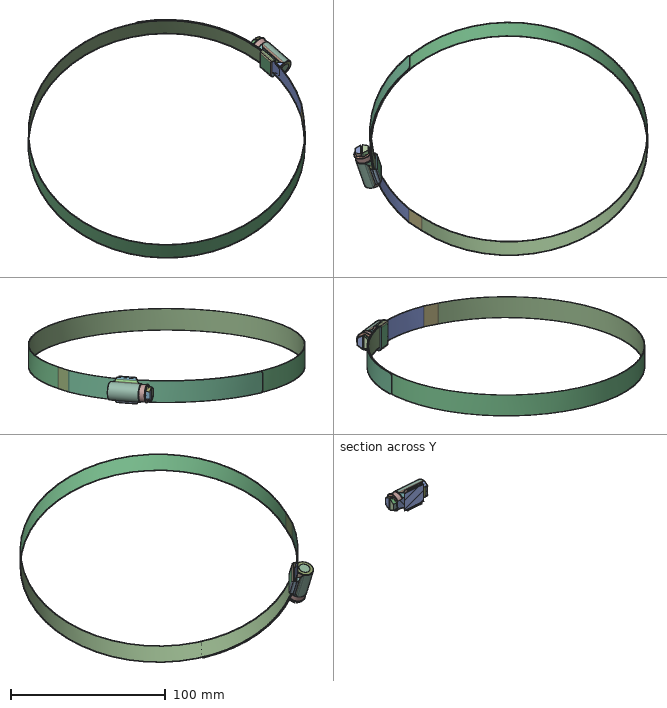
import cadquery as cq
import math


BAND_RADIUS = 89.5
BAND_THICKNESS = 0.47
BAND_WIDTH = 14.5
LAYER_GAP = 0.2
TAIL_END_ANGLE = 150.0
JOGGLE_OUTER_ANGLE = 61.7
JOGGLE_INNER_ANGLE = 54.9
INNER_END_ANGLE = 88.0
TAIL_CORNER_RADIUS = 1.9

INNER_FACE = BAND_RADIUS - BAND_THICKNESS
TAIL_INNER_FACE = BAND_RADIUS + LAYER_GAP
TAIL_RADIUS = TAIL_INNER_FACE + BAND_THICKNESS

OVERALL_LENGTH = 189.7
BARREL_RADIUS = 6.0
BARREL_HALF_LENGTH = 10.6
NECK_RADIUS = 5.7
LIP_LENGTH = 0.4
FRONT_X = -14.8
BARREL_CHAMFER = 0.4
AXIS_Y = OVERALL_LENGTH - BAND_RADIUS - BARREL_RADIUS

SADDLE_WIDTH = 17.3
SADDLE_HALF_WIDTH = SADDLE_WIDTH / 2
SADDLE_WALL = 0.5
SADDLE_BOTTOM_Y = 87.0
SADDLE_FLOOR = 0.8
SHOULDER_Y = 91.6
SHOULDER_RADIUS = 1.3
FLARE_RADIUS = SADDLE_HALF_WIDTH - BARREL_RADIUS - SHOULDER_RADIUS
BOTTOM_ROUND = 1.3
SADDLE_TOP_HALF_LENGTH = 10.2
SADDLE_SIDE_HALF_LENGTH = 5.9
SADDLE_BASE_HALF_LENGTH = 5.0
TAPER_END_Y = SHOULDER_Y - SHOULDER_RADIUS

SHANK_RADIUS = 3.6
HEX_ACROSS_FLATS = 8.5
HEAD_LENGTH = 2.8
SLOT_WIDTH = 1.1
SLOT_DEPTH = 1.9


def polar(radius, angle):
    """Point in the XY plane at the given radius and angle in degrees."""
    return (radius * math.cos(math.radians(angle)), radius * math.sin(math.radians(angle)))


def make_band():
    """One strip: outer layer, joggle inward, then clockwise round to the inner end."""
    inner_end = INNER_END_ANGLE - 360
    tail_middle = (TAIL_END_ANGLE + JOGGLE_OUTER_ANGLE) / 2
    inner_middle = (JOGGLE_INNER_ANGLE + inner_end) / 2
    band = (
        cq.Workplane("XY").workplane(offset=-BAND_WIDTH / 2)
        .moveTo(*polar(TAIL_RADIUS, TAIL_END_ANGLE))
        .threePointArc(polar(TAIL_RADIUS, tail_middle), polar(TAIL_RADIUS, JOGGLE_OUTER_ANGLE))
        .lineTo(*polar(BAND_RADIUS, JOGGLE_INNER_ANGLE))
        .threePointArc(polar(BAND_RADIUS, inner_middle), polar(BAND_RADIUS, inner_end))
        .lineTo(*polar(INNER_FACE, inner_end))
        .threePointArc(polar(INNER_FACE, inner_middle), polar(INNER_FACE, JOGGLE_INNER_ANGLE))
        .lineTo(*polar(TAIL_INNER_FACE, JOGGLE_OUTER_ANGLE))
        .threePointArc(polar(TAIL_INNER_FACE, tail_middle), polar(TAIL_INNER_FACE, TAIL_END_ANGLE))
        .close()
        .extrude(BAND_WIDTH)
    )
    end_x, end_y = polar((TAIL_RADIUS + TAIL_INNER_FACE) / 2, TAIL_END_ANGLE)
    corners = cq.selectors.BoxSelector(
        (end_x - BAND_THICKNESS, end_y - BAND_THICKNESS, -BAND_WIDTH),
        (end_x + BAND_THICKNESS, end_y + BAND_THICKNESS, BAND_WIDTH),
    )
    tail_face = band.faces(corners)
    return band.newObject(tail_face.edges("#Z").vals()).fillet(TAIL_CORNER_RADIUS).solids()


def make_barrel():
    """Round barrel with a narrower neck and a lip at the front, turned about the screw axis."""
    lip_back_x = FRONT_X + LIP_LENGTH
    return (
        cq.Workplane("XZ", origin=(0, AXIS_Y, 0))
        .moveTo(FRONT_X, 0)
        .lineTo(FRONT_X, BARREL_RADIUS)
        .lineTo(lip_back_x, BARREL_RADIUS)
        .lineTo(lip_back_x, NECK_RADIUS)
        .lineTo(-BARREL_HALF_LENGTH, NECK_RADIUS)
        .lineTo(-BARREL_HALF_LENGTH + BARREL_CHAMFER, BARREL_RADIUS)
        .lineTo(BARREL_HALF_LENGTH - BARREL_CHAMFER, BARREL_RADIUS)
        .lineTo(BARREL_HALF_LENGTH, BARREL_RADIUS - BARREL_CHAMFER)
        .lineTo(BARREL_HALF_LENGTH, 0)
        .close()
        .revolve(axisStart=(0, 0, 0), axisEnd=(1, 0, 0))
    )


def make_saddle():
    """Flared cross-section, trimmed to a shape that tapers in X towards the band."""
    arc_inset = 1 - math.sqrt(0.5)
    flare_inset = FLARE_RADIUS * arc_inset
    shoulder_inset = SHOULDER_RADIUS * arc_inset
    round_inset = BOTTOM_ROUND * arc_inset
    section = (
        cq.Workplane("YZ").workplane(offset=-SADDLE_TOP_HALF_LENGTH)
        .moveTo(AXIS_Y, 0)
        .lineTo(AXIS_Y, BARREL_RADIUS)
        .lineTo(SHOULDER_Y + FLARE_RADIUS, BARREL_RADIUS)
        .threePointArc(
            (SHOULDER_Y + flare_inset, BARREL_RADIUS + flare_inset),
            (SHOULDER_Y, BARREL_RADIUS + FLARE_RADIUS),
        )
        .threePointArc(
            (SHOULDER_Y - shoulder_inset, SADDLE_HALF_WIDTH - shoulder_inset),
            (TAPER_END_Y, SADDLE_HALF_WIDTH),
        )
        .lineTo(SADDLE_BOTTOM_Y + BOTTOM_ROUND, SADDLE_HALF_WIDTH)
        .threePointArc(
            (SADDLE_BOTTOM_Y + round_inset, SADDLE_HALF_WIDTH - round_inset),
            (SADDLE_BOTTOM_Y, SADDLE_HALF_WIDTH - BOTTOM_ROUND),
        )
        .lineTo(SADDLE_BOTTOM_Y, 0)
        .close()
        .extrude(2 * SADDLE_TOP_HALF_LENGTH)
    )
    section = section.union(section.mirror("XY"))
    right_side = [
        (SADDLE_BASE_HALF_LENGTH, SADDLE_BOTTOM_Y),
        (SADDLE_SIDE_HALF_LENGTH, SADDLE_BOTTOM_Y + BOTTOM_ROUND),
        (SADDLE_SIDE_HALF_LENGTH, TAPER_END_Y),
        (SADDLE_TOP_HALF_LENGTH, AXIS_Y),
    ]
    left_side = [(-x, y) for x, y in reversed(right_side)]
    taper = (
        cq.Workplane("XY")
        .polyline(right_side + left_side)
        .close()
        .extrude(SADDLE_HALF_WIDTH, both=True)
    )
    return section.intersect(taper)


def make_band_channel():
    """Passage for both band layers: a flat floor and a roof curved like the band."""
    half_width = SADDLE_HALF_WIDTH - SADDLE_WALL
    floor_y = SADDLE_BOTTOM_Y + SADDLE_FLOOR
    half_chord = math.sqrt(TAIL_RADIUS**2 - floor_y**2)
    return (
        cq.Workplane("XY")
        .moveTo(-half_chord, floor_y)
        .threePointArc((0, TAIL_RADIUS), (half_chord, floor_y))
        .close()
        .extrude(half_width, both=True)
    )


def make_shank():
    """Plain shank running the full length of the housing."""
    return (
        cq.Workplane("YZ", origin=(FRONT_X, AXIS_Y, 0))
        .circle(SHANK_RADIUS)
        .extrude(BARREL_HALF_LENGTH - FRONT_X)
    )


def make_housing():
    """Barrel and saddle with the band channel and the screw bore cut through."""
    return make_barrel().union(make_saddle()).cut(make_band_channel()).cut(make_shank()).solids()


def make_screw():
    """Shank with a hex head, corners towards +Z and -Z, and a screwdriver slot along Z."""
    corner_diameter = HEX_ACROSS_FLATS / math.cos(math.pi / 6)
    head = (
        cq.Workplane("YZ", origin=(FRONT_X, AXIS_Y, 0))
        .transformed(rotate=(0, 0, 90))
        .polygon(6, corner_diameter)
        .extrude(-HEAD_LENGTH)
    )
    slot = (
        cq.Workplane("YZ", origin=(FRONT_X - HEAD_LENGTH, AXIS_Y, 0))
        .rect(SLOT_WIDTH, corner_diameter)
        .extrude(SLOT_DEPTH)
    )
    return make_shank().union(head).cut(slot).solids()


band = make_band()
housing = make_housing()
screw = make_screw()

result = cq.Compound.makeCompound([band.val(), housing.val(), screw.val()])